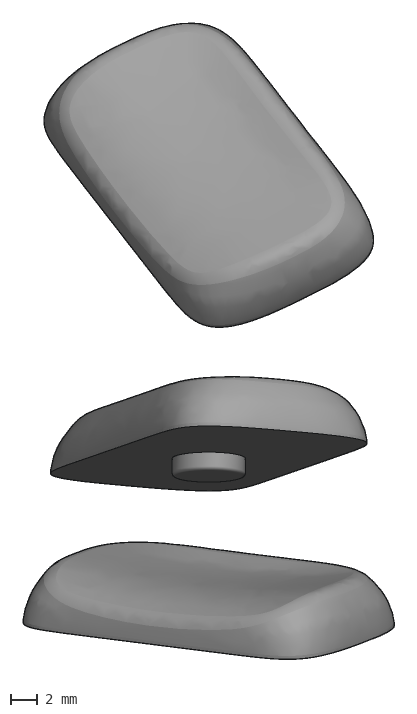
import cadquery as cq
import math

LENGTH = 26.47
WIDTH = 16.47

FOOT_EXPONENTS = (9.7, 2.95)
TOP_EXPONENTS = (4.4, 2.6)
DIAGONAL_SHARE = 0.5
STEPS_PER_HALF_CORNER = 8

BAND_HEIGHT = 0.25
WALL_RADIUS = 5.8
WALL_TOP = 5.1
WALL_SECTIONS = 7

DISH_CENTRE_HEIGHT = 3.45
DISH_SAG = 0.86
DISH_HALF_SPAN = 10.8
FRONT_FALL = 0.0028
BACK_RISE = 0.00403
DISH_GRID_STEPS = 24
DISH_MARGIN = 0.5
DISH_TOLERANCE = 0.001
DISH_DEGREE = 5
RIM_RADIUS = 1.35

STEM_DIAMETER = 5.5
STEM_LENGTH = 1.35
STEM_EDGE_RADIUS = 0.25


def corner_quarter(half_length, half_width, exponents):
    """Points of one outline quarter, from the +X axis up to the +Y axis."""
    p, q = exponents
    end_u = DIAGONAL_SHARE ** (1 / p)
    end_v = DIAGONAL_SHARE ** (1 / q)
    points = []
    for step in range(STEPS_PER_HALF_CORNER + 1):
        v = end_v * math.sin(math.pi / 2 * step / STEPS_PER_HALF_CORNER)
        u = (1 - v ** q) ** (1 / p)
        points.append((half_length * u, half_width * v))
    for step in range(STEPS_PER_HALF_CORNER - 1, -1, -1):
        u = end_u * math.sin(math.pi / 2 * step / STEPS_PER_HALF_CORNER)
        v = (1 - u ** p) ** (1 / q)
        points.append((half_length * u, half_width * v))
    return points


def outline_wire(z):
    """Closed smooth outline of the cap at height z."""
    rise = max(z - BAND_HEIGHT, 0)
    inset = WALL_RADIUS - math.sqrt(WALL_RADIUS ** 2 - rise ** 2)
    blend = rise / (WALL_TOP - BAND_HEIGHT)
    exponents = [foot + (top - foot) * blend for foot, top in zip(FOOT_EXPONENTS, TOP_EXPONENTS)]
    quarter = corner_quarter(LENGTH / 2 - inset, WIDTH / 2 - inset, exponents)
    upper = quarter + [(-x, y) for x, y in reversed(quarter[:-1])]
    lower = [(x, -y) for x, y in reversed(upper[1:-1])]
    points = [cq.Vector(x, y, z) for x, y in upper + lower]
    return cq.Wire.assembleEdges([cq.Edge.makeSpline(points, periodic=True)])


def make_band():
    return cq.Solid.extrudeLinear(outline_wire(0), [], cq.Vector(0, 0, BAND_HEIGHT))


def make_wall():
    section_step = (WALL_TOP - BAND_HEIGHT) / (WALL_SECTIONS - 1)
    wires = [outline_wire(BAND_HEIGHT + section_step * i) for i in range(WALL_SECTIONS)]
    return cq.Solid.makeLoft(wires)


def dish_height(x, y):
    if y < 0:
        spine = DISH_CENTRE_HEIGHT - FRONT_FALL * abs(y) ** 3
        sag = DISH_SAG
    else:
        rise = BACK_RISE * y ** 3
        spine = DISH_CENTRE_HEIGHT + rise
        sag = DISH_SAG - rise
    return spine + sag * (x / DISH_HALF_SPAN) ** 2


def make_dish_cutter():
    """Everything above the dished top surface."""
    reach_x = LENGTH / 2 + DISH_MARGIN
    reach_y = WIDTH / 2 + DISH_MARGIN
    grid = []
    for i in range(DISH_GRID_STEPS + 1):
        x = reach_x * (2 * i / DISH_GRID_STEPS - 1)
        row = []
        for j in range(DISH_GRID_STEPS + 1):
            y = reach_y * (2 * j / DISH_GRID_STEPS - 1)
            row.append(cq.Vector(x, y, dish_height(x, y)))
        grid.append(row)
    surface = cq.Face.makeSplineApprox(grid, tol=DISH_TOLERANCE, maxDeg=DISH_DEGREE)
    return cq.Solid.extrudeLinear(surface, cq.Vector(0, 0, 2 * WALL_TOP))


def make_cap():
    upper = cq.Workplane(make_wall()).cut(cq.Workplane(make_dish_cutter()))
    upper = upper.faces(">Z").edges().fillet(RIM_RADIUS)
    return upper.union(cq.Workplane(make_band()))


def make_stem():
    stem = cq.Workplane("XY").circle(STEM_DIAMETER / 2).extrude(-STEM_LENGTH)
    return stem.faces("<Z").edges().fillet(STEM_EDGE_RADIUS)


result = make_cap().union(make_stem())